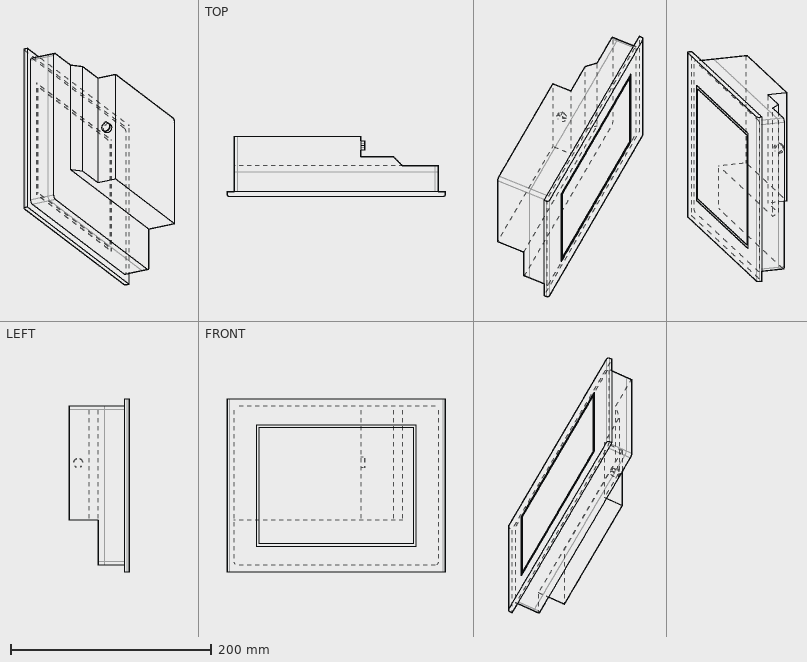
import cadquery as cq
import math

panel_width = 218.0
panel_height = 173.0
panel_thickness = 5.0
panel_edge_radius = 2.4

overall_depth = 60.0
housing_width = 204.0
housing_height = 159.0
housing_corner_radius = 3.5
base_back = 24.7
rear_shelf_back = 31.0
middle_shelf_back = 40.0

tall_block_right = 24.5
middle_shelf_right = 57.0
shelf_slope_run = middle_shelf_back - rear_shelf_back
lower_step_top = -34.5

window_width = 159.5
window_height = 121.3
window_border = 2.8
window_groove_depth = 0.3

connector_diameter = 9.4
connector_reach = 4.0
connector_end_chamfer = 0.3
connector_y = 51.0
connector_z = (housing_height / 2 + lower_step_top) / 2
ridge_width = 3.6
ridge_height = 1.5


def box_along_y(width, height, front, back):
    """Box centred on X = Z = 0 that fills front <= Y <= back."""
    return (
        cq.Workplane("XZ", origin=(0, front, 0))
        .rect(width, height)
        .extrude(front - back)
    )


def make_panel():
    panel = box_along_y(panel_width, panel_height, 0, panel_thickness)
    return panel.faces("<Y").edges("|Z").fillet(panel_edge_radius)


def make_window_groove():
    outer = box_along_y(window_width, window_height, 0, window_groove_depth)
    screen = box_along_y(
        window_width - 2 * window_border,
        window_height - 2 * window_border,
        0,
        window_groove_depth,
    )
    return outer.cut(screen)


def make_housing_base():
    base = box_along_y(housing_width, housing_height, panel_thickness, base_back)
    return base.edges("|Y").fillet(housing_corner_radius)


def make_rear_cover():
    """Stepped rear part of the housing, behind the seam at base_back."""
    half_width = housing_width / 2
    bottom = -housing_height / 2
    cover = box_along_y(housing_width, housing_height, base_back, overall_depth)
    rounded = cover.edges("|Y").fillet(housing_corner_radius)
    stepped_plan = (
        cq.Workplane("XY", origin=(0, 0, bottom))
        .moveTo(-half_width, base_back)
        .lineTo(-half_width, overall_depth)
        .lineTo(tall_block_right, overall_depth)
        .lineTo(tall_block_right, middle_shelf_back)
        .lineTo(middle_shelf_right, middle_shelf_back)
        .lineTo(middle_shelf_right + shelf_slope_run, rear_shelf_back)
        .lineTo(half_width, rear_shelf_back)
        .lineTo(half_width, base_back)
        .close()
        .extrude(housing_height)
    )
    lower_step = cq.Workplane("XY", origin=(-half_width, rear_shelf_back, bottom)).box(
        housing_width,
        overall_depth - rear_shelf_back,
        lower_step_top - bottom,
        centered=False,
    )
    return rounded.intersect(stepped_plan).cut(lower_step)


def make_connector():
    wall = cq.Workplane("YZ", origin=(tall_block_right, connector_y, connector_z))
    radius = connector_diameter / 2
    barrel = wall.circle(radius).extrude(connector_reach).faces(">X").chamfer(connector_end_chamfer)
    foot_z = math.sqrt(radius**2 - (ridge_width / 2) ** 2)
    ridge = (
        wall.moveTo(0, 0)
        .lineTo(ridge_width / 2, foot_z)
        .lineTo(0, foot_z + ridge_height)
        .lineTo(-ridge_width / 2, foot_z)
        .close()
        .extrude(connector_reach)
    )
    return barrel.union(ridge)


result = (
    make_panel()
    .cut(make_window_groove())
    .union(make_housing_base())
    .union(make_rear_cover(), clean=False)
    .union(make_connector(), clean=False)
)